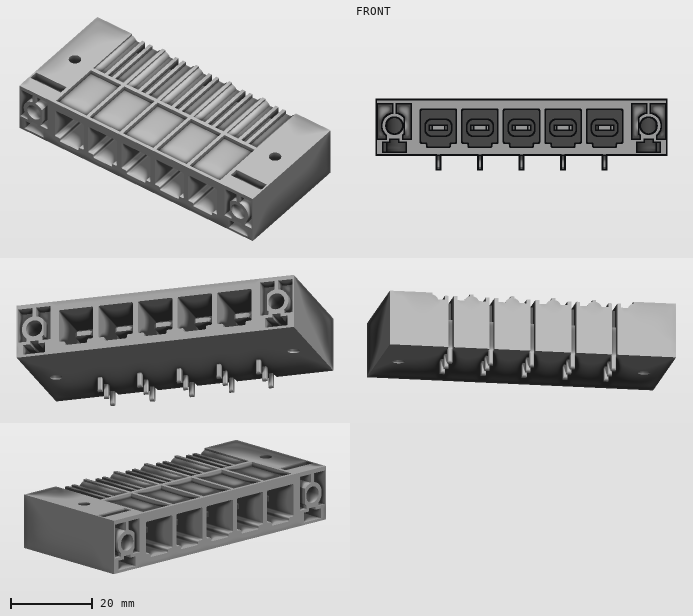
import cadquery as cq

length = 71.1
depth = 32.0
height = 13.6
pole_count = 5
pitch = length / (pole_count + 2)
pole_xs = [(i - (pole_count - 1) / 2) * pitch for i in range(pole_count)]
flange_x = (pole_count + 1) / 2 * pitch
sides = (-1, 1)

blade_width = 4.4
blade_thickness = 1.15
blade_bevel_width = 0.65
blade_bevel_length = 0.85
blade_z = 6.7
blade_tip_y = 5.7
plate_thickness = 1.15
pin_depth = 1.35
pin_pitch = 5.05
pin_count = 3
pin_length = 3.6
pin_edge_chamfer = 0.18
contact_back_y = depth - 1.6
last_pin_y = contact_back_y - pin_depth / 2
pin_ys = [last_pin_y - i * pin_pitch for i in range(pin_count)]
contact_plate_front_y = pin_ys[-1] - pin_depth / 2

chamber_width = 8.8
chamber_bottom = 2.9
chamber_top = 11.2
chamber_depth = 15.1
chamber_radius = 0.35
key_width = 5.75
key_bottom = 1.9
contact_recess_width = 6.55
contact_recess_height = 4.2
contact_recess_radius = 1.7
contact_recess_depth = 0.7

top_bay_width = 9.25
window_front_y = 0.85
window_back_y = 15.1
window_depth = 1.2
groove_front_y = 16.1
groove_depth = 1.65
shoulder_width = 1.35
shoulder_height = 1.15
shoulder_radius = 1.85
rib_outer = 1.6
rib_inner = 0.65
rib_height = 1.0
rear_slot_depth = 3.6

mount_hole_diameter = 3.05
mount_tube_radius = 2.4
mount_y = depth / 2
latch_x = length / 2 - 4.5
boss_z = 7.2
boss_radius = 3.1
boss_flat = 2.4
screw_hole_radius = 2.05
boss_neck_width = 4.0
boss_web_width = 0.9
pocket_width = 8.3
pocket_bottom = 3.9
pocket_top = 12.5
pocket_depth = 3.7
tee_width = 5.7
tee_bottom = 0.65
tee_shoulder = 3.1
tee_stem_width = 2.2
top_slot_middle = 30.5
top_slot_width = 9.25
top_slot_front_y = 4.0
top_slot_back_y = 6.4
top_slot_depth = 2.35


def block(x_range, y_range, z_range):
    """Box between the given limits."""
    size = [high - low for low, high in (x_range, y_range, z_range)]
    corner = (x_range[0], y_range[0], z_range[0])
    return cq.Workplane("XY").box(*size, centered=False).translate(corner)


def centred_block(x, width, y_range, z_range):
    """Box centred on x, between the given Y and Z limits."""
    return block((x - width / 2, x + width / 2), y_range, z_range)


def rod_along_y(x, z, radius, end_y):
    """Cylinder from the front face back to end_y."""
    return cq.Workplane("XZ").center(x, z).circle(radius).extrude(-end_y)


def make_pin(y):
    pin = centred_block(0, plate_thickness, (y - pin_depth / 2, y + pin_depth / 2), (-pin_length, 0))
    pin = pin.edges("|Z").chamfer(pin_edge_chamfer)
    tip_radius = pin_depth / 2
    rounded_side = (
        cq.Workplane("YZ")
        .moveTo(y - tip_radius, 0)
        .lineTo(y - tip_radius, tip_radius - pin_length)
        .threePointArc((y, -pin_length), (y + tip_radius, tip_radius - pin_length))
        .lineTo(y + tip_radius, 0)
        .close()
        .extrude(plate_thickness / 2, both=True)
    )
    return pin.intersect(rounded_side)


def make_contact(x):
    blade_z_range = (blade_z - blade_thickness / 2, blade_z + blade_thickness / 2)
    blade = centred_block(0, blade_width, (blade_tip_y, contact_plate_front_y + pin_depth), blade_z_range)
    blade = blade.faces("<Y").edges("|Z").chamfer(blade_bevel_length, blade_bevel_width)
    plate = centred_block(
        0, plate_thickness, (contact_plate_front_y, contact_back_y), (0, blade_z_range[1])
    )
    contact = blade.union(plate)
    for y in pin_ys:
        contact = contact.union(make_pin(y))
    return contact.translate((x, 0, 0))


def plug_chamber(x):
    """Chamber with a keyway in its floor and a shallow recess around the blade in its back wall."""
    chamber = centred_block(x, chamber_width, (0, chamber_depth), (chamber_bottom, chamber_top))
    keyway = centred_block(x, key_width, (0, chamber_depth), (key_bottom, chamber_bottom))
    keyed_chamber = chamber.union(keyway).edges("|Y").fillet(chamber_radius)
    recess = centred_block(
        x,
        contact_recess_width,
        (0, chamber_depth + contact_recess_depth),
        (blade_z - contact_recess_height / 2, blade_z + contact_recess_height / 2),
    )
    recess = recess.edges("|Y").fillet(contact_recess_radius)
    return keyed_chamber.union(recess)


def top_window(x):
    return centred_block(x, top_bay_width, (window_front_y, window_back_y), (height - window_depth, height))


def rear_groove(x):
    """Groove open at the back, with rounded shoulders along its sides and two ribs on its floor."""
    floor = height - groove_depth
    shoulder_top = floor + shoulder_height
    half_width = top_bay_width / 2
    half_floor = half_width - shoulder_width
    groove = (
        cq.Workplane("XZ", origin=(x, depth, 0))
        .moveTo(-half_floor, floor)
        .lineTo(half_floor, floor)
        .radiusArc((half_width, shoulder_top), shoulder_radius)
        .lineTo(half_width, height)
        .lineTo(-half_width, height)
        .lineTo(-half_width, shoulder_top)
        .radiusArc((-half_floor, floor), shoulder_radius)
        .close()
        .extrude(depth - groove_front_y)
    )
    for side in sides:
        rib = centred_block(
            x + side * (rib_outer + rib_inner) / 2,
            rib_outer - rib_inner,
            (groove_front_y, depth),
            (floor, floor + rib_height),
        )
        groove = groove.cut(rib)
    return groove


def rear_slot(x):
    """Slot between the ribs, through the full height, that takes the back of a contact."""
    return centred_block(x, 2 * rib_inner, (depth - rear_slot_depth, depth), (0, height))


def boss_pockets(side):
    """Pockets on both sides of the screw boss, its web and its neck."""
    x = side * latch_x
    y_range = (0, pocket_depth)
    boss = rod_along_y(x, boss_z, boss_radius, pocket_depth)
    beyond_flat = centred_block(
        x - side * (boss_flat + boss_radius), 2 * boss_radius, y_range, (pocket_bottom, pocket_top)
    )
    web = centred_block(x, boss_web_width, y_range, (boss_z, pocket_top))
    neck = centred_block(x, boss_neck_width, y_range, (pocket_bottom, boss_z))
    pockets = centred_block(x, pocket_width, y_range, (pocket_bottom, pocket_top))
    return pockets.cut(boss.cut(beyond_flat)).cut(web).cut(neck)


def boss_openings(side):
    """Screw hole and T-shaped opening, both running into the tube around the mounting hole."""
    x = side * latch_x
    end_y = mount_y + mount_tube_radius
    y_range = (0, end_y)
    tee = centred_block(x, tee_width, y_range, (tee_bottom, tee_shoulder))
    stem = centred_block(x, tee_stem_width, y_range, (tee_bottom, pocket_bottom))
    openings = tee.union(stem).union(rod_along_y(x, boss_z, screw_hole_radius, end_y))
    tube = cq.Workplane("XY").center(side * flange_x, mount_y).circle(mount_tube_radius).extrude(height)
    return openings.cut(tube)


def mount_hole(side):
    return cq.Workplane("XY").center(side * flange_x, mount_y).circle(mount_hole_diameter / 2).extrude(height)


def top_slot(side):
    return centred_block(
        side * top_slot_middle,
        top_slot_width,
        (top_slot_front_y, top_slot_back_y),
        (height - top_slot_depth, height),
    )


def make_housing(contacts):
    housing = centred_block(0, length, (0, depth), (0, height))
    for x in pole_xs:
        for cutter in (plug_chamber, top_window, rear_groove, rear_slot):
            housing = housing.cut(cutter(x))
    for side in sides:
        for cutter in (boss_pockets, boss_openings, mount_hole, top_slot):
            housing = housing.cut(cutter(side))
    for contact in contacts:
        housing = housing.cut(contact)
    return housing


contacts = [make_contact(x) for x in pole_xs]
housing = make_housing(contacts)

result = cq.Compound.makeCompound([housing.val(), *[contact.val() for contact in contacts]])